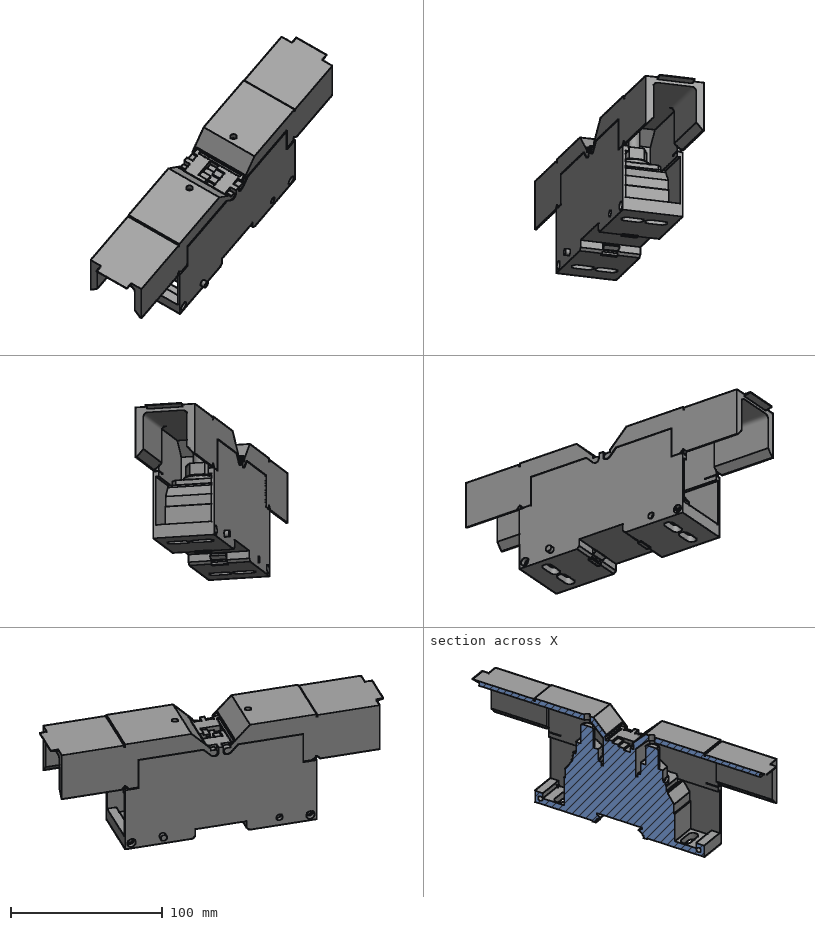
import cadquery as cq
import math

length = 229.5
width = 48.0

base_half_length = 66.0
base_half_width = 20.9
base_bottom = 0.7
base_top = 67.0
shoulder_y = 57.0
shoulder_top = 45.7
narrow_half_width = 17.0

bay_half_width = 19.0
sill_depth = 6.5
sill_top = 9.6
bay_floor = 5.7
bay_wall_y = 43.4
bay_step_z = 26.9
bay_step_depth = 0.7
ramp_low_z = 33.7
ramp_high_z = 40.9
ramp_run = 5.0
terminal_floor = 42.2
center_wall_y = 12.9
floor_slot_length = 15.1
floor_slot_width = 6.9
floor_slot_x = 8.3
floor_slot_y = 49.3

rail_half_width = 17.7
rail_top = 7.5
rail_chamfer = 1.8
latch_half_width = 10.8 / 2
latch_nose = 3.0
latch_z = 5.0
latch_half_height = 2.0
foot_inner_y = 18.5
foot_length = 2.8

pin_y = 40.5
pin_z = 6.7
pin_radius = 2.18
pin_reach = width / 2
socket_depth = 3.5
cross_hole_y = 61.7
cross_hole_z = 4.8
cross_hole_radius = 1.5
cross_bore_radius = 5.7 / 2
cross_bore_depth = 3.7

cover_half_width = 20.5
cover_top = 80.3
cover_bottom = 46.1
ceiling = 75.7
slope_angle = math.radians(45)
slope_top_y = 20.2
slope_end_y = 10.0
slope_foot_y = 11.0
slope_lip_z = 68.8
slope_overlap = 1.0
extension_end_y = 109.7
extension_top = 79.6
mouth_half_width = 15.0
mouth_corner = 3.0
lip_half_width = 19.5
lip_top = 51.2
tab_half_width = 12.2
tab_root_thickness = 1.5
tab_tip_thickness = 0.5
groove_width = 0.7
groove_depth = 1.4
bottom_notch = 2.5
probe_radius = 2.0

hook_inner_x = 16.3
hook_y = 4.8
hook_z = 63.3
hook_radius = 2.5
hook_top = 65.5
toe_round = 1.8
neck_inner_x = 19.3
pocket_end_y = 1.5
platform_groove_width = 1.4
platform_groove_depth = 1.1

bolt_y = 25.2
bolt_radius = 5.0
bolt_top = 72.3
bolt_chamfer = 1.1
plate_end = 36.7
plate_top = 45.7
plate_corner = 3.0
washer_radius = 22.3 / 2
washer_top = 48.2
nut_radius = 20.5 / 2
nut_bottom = 49.3
nut_top = 57.1
collar_radius = 9.2

marker_cell_width = 6.7
marker_cell_length = 4.5
marker_start_y = 8.3
marker_step = 1.4
marker_cells = 3


def box(x0, x1, y0, y1, z0, z1):
    """Box between two opposite corners."""
    return cq.Workplane("XY").box(x1 - x0, y1 - y0, z1 - z0, centered=False).translate((x0, y0, z0))


def wide_box(half_width, y0, y1, z0, z1):
    """Box centred on the X axis."""
    return box(-half_width, half_width, y0, y1, z0, z1)


def side_prism(points, half_width):
    """Outline of (y, z) points extruded symmetrically about X = 0."""
    return cq.Workplane("YZ").polyline(points).close().extrude(half_width, both=True)


def upright(radius, y, z0, z1):
    """Vertical cylinder on the centre plane."""
    return cq.Workplane("XY", origin=(0, y, z0)).circle(radius).extrude(z1 - z0)


def across(radius, y, z, x0, x1):
    """Cylinder along X."""
    return cq.Workplane("YZ", origin=(x0, y, z)).circle(radius).extrude(x1 - x0)


def both_ends(solid):
    """The solid together with its half-turn copy about Z."""
    return solid.union(solid.rotate((0, 0, 0), (0, 0, 1), 180))


def on_sides(outline, inner_x, outer_x):
    """Extrude a (y, z) outline into the two side zones."""
    right = outline.extrude(outer_x - inner_x).translate((inner_x, 0, 0))
    return right.union(right.mirror("YZ"))



def bay_cut():
    """Wiring bay: sunken floor behind a sill, stepped back wall, open top."""
    outside = base_half_length
    sill_y = base_half_length - sill_depth
    step_y = bay_wall_y - bay_step_depth
    ramp_y = step_y - ramp_run
    lower = side_prism(
        [
            (outside, sill_top), (sill_y, sill_top), (sill_y, bay_floor), (bay_wall_y, bay_floor),
            (bay_wall_y, bay_step_z), (step_y, bay_step_z), (step_y, ramp_low_z), (ramp_y, ramp_high_z),
            (ramp_y, terminal_floor), (outside, terminal_floor),
        ],
        bay_half_width,
    )
    upper = wide_box(narrow_half_width, center_wall_y, outside, terminal_floor, cover_top)
    slots = (
        cq.Workplane("XY", origin=(0, floor_slot_y, 0))
        .pushPoints([(-floor_slot_x, 0), (floor_slot_x, 0)])
        .slot2D(floor_slot_length, floor_slot_width)
        .extrude(bay_floor)
    )
    return lower.union(upper).union(slots)


def base():
    body = wide_box(base_half_width, -base_half_length, base_half_length, base_bottom, shoulder_top)
    body = body.union(wide_box(base_half_width, -shoulder_y, shoulder_y, base_bottom, base_top))
    rail_corner = rail_half_width + rail_chamfer
    rail = side_prism(
        [
            (-rail_corner, base_bottom), (-rail_half_width, base_bottom + rail_chamfer),
            (-rail_half_width, rail_top), (rail_half_width, rail_top),
            (rail_half_width, base_bottom + rail_chamfer), (rail_corner, base_bottom),
        ],
        base_half_width,
    )
    return body.cut(rail).cut(both_ends(bay_cut()))


def latch():
    """Rail latch: pointed nose in the channel and a foot under the base."""
    nose = side_prism(
        [
            (rail_half_width, latch_z - latch_half_height),
            (rail_half_width - latch_nose, latch_z),
            (rail_half_width, latch_z + latch_half_height),
        ],
        latch_half_width,
    )
    foot = wide_box(latch_half_width, foot_inner_y, foot_inner_y + foot_length, 0, base_bottom + rail_chamfer)
    return nose.union(foot)


def cross_holes():
    """Counterbored hole through the sill from side to side."""
    hole = across(cross_hole_radius, cross_hole_y, cross_hole_z, -base_half_width, base_half_width)
    bore_end = base_half_width - cross_bore_depth
    for start, end in ((-base_half_width, -bore_end), (bore_end, base_half_width)):
        hole = hole.union(across(cross_bore_radius, cross_hole_y, cross_hole_z, start, end))
    return hole


def coupling_pin():
    return across(pin_radius, pin_y, pin_z, -pin_reach, -base_half_width)


def coupling_socket():
    return across(pin_radius, pin_y, pin_z, base_half_width - socket_depth, base_half_width)


def slope_z(y):
    """Height of the outer face of the roof slope."""
    return cover_top - (slope_top_y - y) * math.tan(slope_angle)


def main_cover():
    """Roof over one terminal with its slope and side walls."""
    slope_bottom = base_top - slope_overlap
    shell = side_prism(
        [
            (slope_foot_y, slope_bottom), (slope_foot_y, slope_lip_z), (slope_end_y, slope_lip_z),
            (slope_end_y, slope_z(slope_end_y)), (slope_top_y, cover_top),
            (base_half_length, cover_top), (base_half_length, cover_bottom),
            (shoulder_y, cover_bottom), (shoulder_y, slope_bottom),
        ],
        cover_half_width,
    )
    wall = cover_top - ceiling
    inner_slope_y = slope_top_y + wall * math.tan(slope_angle / 2)
    inner_slope_end_z = ceiling - (inner_slope_y - center_wall_y) * math.tan(slope_angle)
    cavity = side_prism(
        [
            (center_wall_y, cover_bottom), (center_wall_y, inner_slope_end_z),
            (inner_slope_y, ceiling), (base_half_length, ceiling), (base_half_length, cover_bottom),
        ],
        narrow_half_width,
    )
    probe_hole = upright(probe_radius, bolt_y, ceiling, cover_top)
    return shell.cut(cavity).cut(probe_hole)


def cover_extension():
    """Open-bottomed channel beyond the base, ending in a thin tab."""
    run = extension_end_y - base_half_length
    channel = (
        cq.Workplane("XZ", origin=(0, extension_end_y, 0))
        .moveTo(-cover_half_width, cover_bottom)
        .lineTo(-cover_half_width, extension_top)
        .lineTo(cover_half_width, extension_top)
        .lineTo(cover_half_width, cover_bottom)
        .lineTo(lip_half_width, cover_bottom)
        .lineTo(mouth_half_width, lip_top)
        .lineTo(mouth_half_width, ceiling - mouth_corner)
        .radiusArc((mouth_half_width - mouth_corner, ceiling), -mouth_corner)
        .lineTo(mouth_corner - mouth_half_width, ceiling)
        .radiusArc((-mouth_half_width, ceiling - mouth_corner), -mouth_corner)
        .lineTo(-mouth_half_width, lip_top)
        .lineTo(-lip_half_width, cover_bottom)
        .close()
        .extrude(run)
    )
    tip_y = length / 2
    tab = side_prism(
        [
            (extension_end_y, extension_top), (tip_y, extension_top),
            (tip_y, extension_top - tab_tip_thickness),
            (extension_end_y, extension_top - tab_root_thickness),
        ],
        tab_half_width,
    )
    return channel.union(tab)


def cover_grooves():
    """Groove across the roof and notch in the lower edges, where both cover parts meet."""
    y = base_half_length
    groove = wide_box(cover_half_width, y, y + groove_width, extension_top - groove_depth, extension_top)
    outer_notch = side_prism(
        [(y, cover_bottom), (y, cover_bottom + bottom_notch), (y + bottom_notch, cover_bottom)],
        cover_half_width,
    )
    inner_notch = on_sides(
        cq.Workplane("YZ")
        .polyline([(y - bottom_notch, cover_bottom), (y, cover_bottom + bottom_notch), (y, cover_bottom)])
        .close(),
        lip_half_width,
        cover_half_width,
    )
    return groove.union(outer_notch).union(inner_notch)


def hook_tangent():
    """(y, z) point where the sloping underside of a hook meets its round."""
    return (hook_y + hook_radius * math.sin(slope_angle), hook_z - hook_radius * math.cos(slope_angle))


def underside_y():
    """Y where the underside of a hook crosses the top of the base."""
    tangent_y, tangent_z = hook_tangent()
    return tangent_y + (base_top - tangent_z) / math.tan(slope_angle)


def hook_pocket():
    outline = (
        cq.Workplane("YZ")
        .moveTo(underside_y(), base_top)
        .lineTo(*hook_tangent())
        .lineTo(hook_y, hook_z - hook_radius)
        .lineTo(pocket_end_y + hook_radius, hook_z - hook_radius)
        .radiusArc((pocket_end_y, hook_z), hook_radius)
        .lineTo(pocket_end_y, base_top)
        .close()
    )
    return on_sides(outline, hook_inner_x, base_half_width)


def hook():
    """Round-toed hook below the top of the base, carried by a thin neck off the slope."""
    toe_y = hook_y - hook_radius
    neck_y = slope_top_y - (cover_top - base_top) / math.tan(slope_angle)
    toe = (
        cq.Workplane("YZ")
        .moveTo(underside_y(), base_top)
        .lineTo(*hook_tangent())
        .threePointArc((hook_y, hook_z - hook_radius), (toe_y, hook_z))
        .lineTo(toe_y, hook_top - toe_round)
        .radiusArc((toe_y + toe_round, hook_top), toe_round)
        .lineTo(neck_y, hook_top)
        .lineTo(neck_y, base_top)
        .close()
    )
    neck = (
        cq.Workplane("YZ")
        .moveTo(neck_y, base_top)
        .lineTo(slope_foot_y, slope_z(slope_foot_y))
        .lineTo(slope_foot_y, base_top)
        .close()
    )
    return on_sides(toe, hook_inner_x, cover_half_width).union(on_sides(neck, neck_inner_x, cover_half_width))


def platform_groove():
    """Groove between the raised middle of the base and the edge of the roof."""
    start = slope_end_y - platform_groove_width
    return wide_box(hook_inner_x, start, slope_foot_y, base_top - platform_groove_depth, base_top)


def terminal():
    """Clamping plate with washer, hexagon nut and threaded stud."""
    plate = (
        wide_box(narrow_half_width, center_wall_y, plate_end, terminal_floor, plate_top)
        .edges("|Z and >Y")
        .chamfer(plate_corner)
    )
    washer = upright(washer_radius, bolt_y, plate_top, washer_top)
    collar = upright(collar_radius, bolt_y, washer_top, nut_bottom)
    nut = (
        cq.Workplane("XY", origin=(0, bolt_y, nut_bottom))
        .polygon(6, 2 * nut_radius)
        .extrude(nut_top - nut_bottom)
    )
    stud = upright(bolt_radius, bolt_y, nut_top, bolt_top).faces(">Z").chamfer(bolt_chamfer)
    return plate.union(washer).union(collar).union(nut).union(stud)


def marker_column():
    """Flight of recessed cells, deepest at the +Y end."""
    column = None
    for cell in range(marker_cells):
        y_end = marker_start_y - cell * marker_cell_length
        depth = marker_step * (marker_cells - cell)
        step = box(-marker_cell_width, 0, y_end - marker_cell_length, y_end, base_top - depth, base_top)
        column = step if column is None else column.union(step)
    return column


result = base().cut(both_ends(hook_pocket()))
result = result.cut(both_ends(cross_holes())).cut(both_ends(coupling_socket()))
result = result.cut(both_ends(marker_column())).cut(both_ends(platform_groove()))
covers = main_cover().union(cover_extension()).cut(cover_grooves()).union(hook())
for feature in (covers, terminal(), latch(), coupling_pin()):
    result = result.union(both_ends(feature))